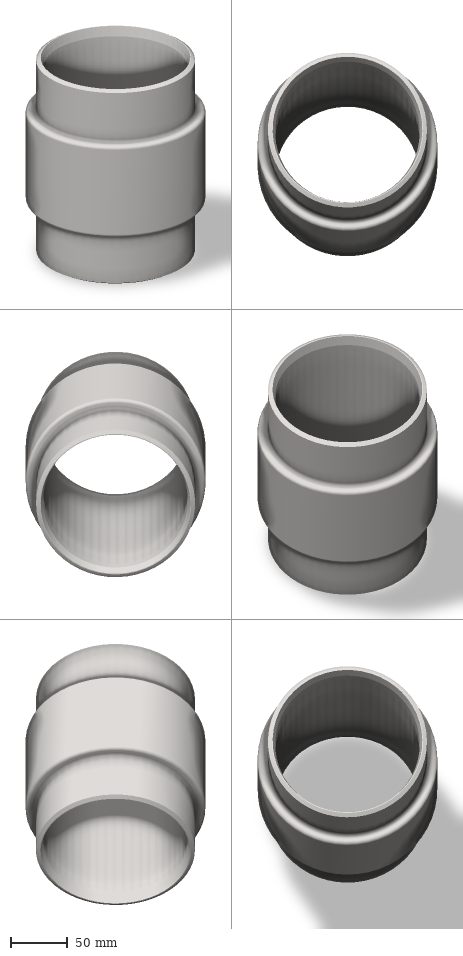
import cadquery as cq

total_length = 188.0
body_diameter = 158.0
body_length = 88.0
neck_diameter = 139.7
bore_diameter = 127.0

body_edge_radius = 3.0
neck_root_radius = 3.0
end_bevel_width = 3.35
end_bevel_height = 2.0
bore_mouth_diameter = 131.5
bore_mouth_depth = 9.0


def cone_ended_cylinder(diameter, end_diameter, cone_length):
    """Full-length cylinder whose two ends change conically to end_diameter."""
    half_length = total_length / 2
    cone_start = half_length - cone_length
    half_profile = [
        (0, -half_length),
        (end_diameter / 2, -half_length),
        (diameter / 2, -cone_start),
        (diameter / 2, cone_start),
        (end_diameter / 2, half_length),
        (0, half_length),
    ]
    return cq.Workplane("XZ").polyline(half_profile).close().revolve(360, (0, 0, 0), (0, 1, 0))


def make_necks():
    """Full-length tube blank with a shallow bevel on both end rims."""
    rim_diameter = neck_diameter - 2 * end_bevel_width
    return cone_ended_cylinder(neck_diameter, rim_diameter, end_bevel_height)


def make_body():
    """Thicker middle section with rounded outer edges."""
    body = cq.Workplane("XY").circle(body_diameter / 2).extrude(body_length / 2, both=True)
    return body.edges("%CIRCLE").fillet(body_edge_radius)


def round_neck_roots(solid):
    """Fillet the inside corners where the two necks meet the body."""
    box_reach = (neck_diameter + body_diameter) / 4
    box_height = body_length / 2 + neck_root_radius
    root_box = cq.selectors.BoxSelector(
        (-box_reach, -box_reach, -box_height),
        (box_reach, box_reach, box_height),
        boundingbox=True,
    )
    return solid.edges("%CIRCLE").edges(root_box).fillet(neck_root_radius)


def make_bore():
    """Through bore that widens conically towards both ends."""
    return cone_ended_cylinder(bore_diameter, bore_mouth_diameter, bore_mouth_depth)


outer_shape = round_neck_roots(make_necks().union(make_body()))
result = outer_shape.cut(make_bore())